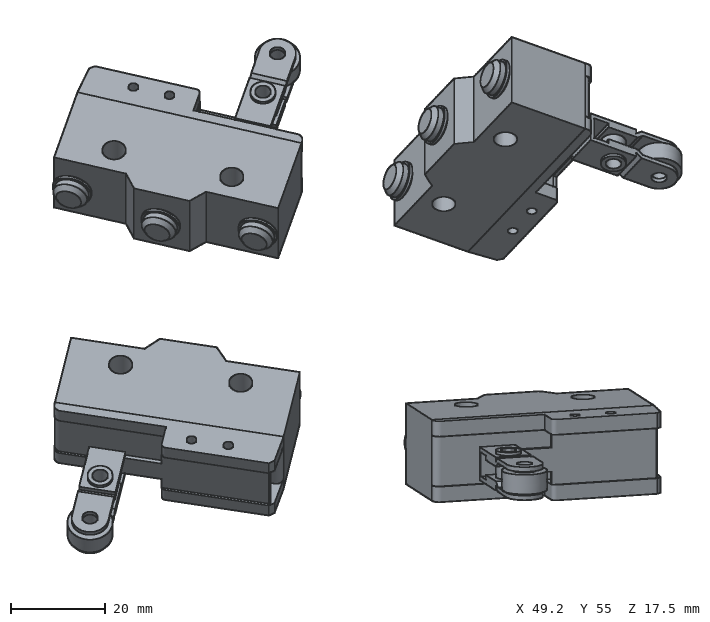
import cadquery as cq
import math


LENGTH = 49.2
THICKNESS = 17.5
HOUSING_DEPTH = 18.0
NOSE_DEPTH = 3.3
NOSE_TIP_WIDTH = 12.2
NOSE_ROOT_WIDTH = 17.6
MOUNT_HOLE_DIAMETER = 4.95
MOUNT_HOLE_SPACING = 25.85
MOUNT_HOLE_Y = -12.7

TERMINAL_NECK = (3.4, 0.5)
TERMINAL_FLANGE = (4.25, 0.65)
TERMINAL_HEAD = (3.75, 1.3)
TERMINAL_TIP_RADIUS = 2.75
TERMINAL_TIP_LENGTH = 1.1

WALL_THICKNESS = 3.35
FLOOR_HEIGHT = 1.6
LOW_WALL_HEIGHT = 2.1
EAR_HEIGHT = 7.7
EAR_RIGHT_X = 0.3
EAR_SLANT = 0.7
EAR_CORNER = 0.95
COVER_CORNER_RADIUS = 1.55
EAR_HOLE_DIAMETER = 2.1
EAR_HOLE_COUNT = 2
EAR_HOLE_SPACING = 7.9
EAR_HOLE_FIRST_X = 11.0
EAR_HOLE_Y = 4.55

BLADE_LEFT_GAP = 1.5
BLADE_BOTTOM_Y = 6.3
BLADE_THICKNESS = 0.9
BLADE_END_CHAMFER = 0.3
ARM_X = 12.1
ARM_WIDTH = 7.8
ARMS_OUTER_SPAN = 7.15
SHEET = 1.0
PAD_START_Y = 10.7
PAD_END_Y = 17.5
CRANK_LENGTH = 1.3

PIN_BORE = 3.3
ROLLER_Y = 25.35
ROLLER_DIAMETER = 9.55
ROLLER_WIDTH = 4.2
BUSHING_DIAMETER = 5.15
RIVET_Y = 14.2
RIVET_DIAMETER = 5.35
RIVET_LENGTH = 8.45

HALF_LENGTH = LENGTH / 2
CHANNEL_WIDTH = THICKNESS - 2 * WALL_THICKNESS
OUTER_TERMINAL_X = HALF_LENGTH - TERMINAL_FLANGE[0]
NOSE_Y = -HOUSING_DEPTH - NOSE_DEPTH
ARM_RIGHT_X = ARM_X + ARM_WIDTH / 2
ARMS_INNER_SPAN = ARMS_OUTER_SPAN - 2 * SHEET
ARM_OUTER_Z = ARMS_OUTER_SPAN / 2
ARM_INNER_Z = ARMS_INNER_SPAN / 2
PAD_INNER_Z = ARM_INNER_Z - SHEET


def centred_prism(outline, width):
    """Extrude a closed outline by the given width, half to each side of its plane."""
    return outline.extrude(width / 2, both=True)


def cylinder_z(x, y, diameter, width):
    """Cylinder along Z, centred on Z = 0."""
    return centred_prism(cq.Workplane("XY").center(x, y).circle(diameter / 2), width)


def ring_z(x, y, diameter, bore, width):
    """Cylinder along Z with a bore through it, centred on Z = 0."""
    return cylinder_z(x, y, diameter, width).cut(cylinder_z(x, y, bore, width))


def make_housing():
    outline = cq.Workplane("XY").polyline([
        (-HALF_LENGTH, 0),
        (-HALF_LENGTH, -HOUSING_DEPTH),
        (-NOSE_ROOT_WIDTH / 2, -HOUSING_DEPTH),
        (-NOSE_TIP_WIDTH / 2, NOSE_Y),
        (NOSE_TIP_WIDTH / 2, NOSE_Y),
        (NOSE_ROOT_WIDTH / 2, -HOUSING_DEPTH),
        (HALF_LENGTH, -HOUSING_DEPTH),
        (HALF_LENGTH, 0),
    ]).close()
    body = centred_prism(outline, THICKNESS)
    for side in (-1, 1):
        hole_x = side * MOUNT_HOLE_SPACING / 2
        body = body.cut(cylinder_z(hole_x, MOUNT_HOLE_Y, MOUNT_HOLE_DIAMETER, THICKNESS))
    return body


def make_terminal(x, face_y):
    """Turned terminal standing on a housing face and pointing to -Y."""
    neck_radius, neck_length = TERMINAL_NECK
    flange_radius, flange_length = TERMINAL_FLANGE
    head_radius, head_length = TERMINAL_HEAD
    flange_y = -neck_length
    head_y = flange_y - flange_length
    tip_start_y = head_y - head_length
    tip_y = tip_start_y - TERMINAL_TIP_LENGTH
    half_section = cq.Workplane("XY").polyline([
        (0, 0),
        (neck_radius, 0),
        (neck_radius, flange_y),
        (flange_radius, flange_y),
        (flange_radius, head_y),
        (head_radius, head_y),
        (head_radius, tip_start_y),
        (TERMINAL_TIP_RADIUS, tip_y),
        (0, tip_y),
    ]).close()
    return half_section.revolve(360, (0, 0), (0, 1)).translate((x, face_y, 0))


def make_cover():
    wall_outline = cq.Workplane("XY").polyline([
        (-HALF_LENGTH, 0),
        (-HALF_LENGTH + EAR_SLANT, EAR_HEIGHT),
        (EAR_RIGHT_X, EAR_HEIGHT),
        (EAR_RIGHT_X, LOW_WALL_HEIGHT),
        (HALF_LENGTH, LOW_WALL_HEIGHT),
        (HALF_LENGTH, 0),
    ]).close()
    walls = centred_prism(wall_outline, THICKNESS)
    walls = walls.edges("|Z").edges(">Y").edges("<X").chamfer(EAR_CORNER)
    walls = walls.edges("|Z").edges(">Y").edges(">X").fillet(EAR_CORNER)
    walls = walls.edges("|Z").edges(">X").edges(">Y").fillet(COVER_CORNER_RADIUS)

    channel = cq.Workplane("XY").box(2 * LENGTH, 2 * EAR_HEIGHT, CHANNEL_WIDTH)
    floor = cq.Workplane("XY").box(LENGTH, FLOOR_HEIGHT, CHANNEL_WIDTH)
    floor = floor.translate((0, FLOOR_HEIGHT / 2, 0))
    floor = floor.edges("|Z").edges(">Y").fillet(COVER_CORNER_RADIUS)
    cover = walls.cut(channel).union(floor)

    for index in range(EAR_HOLE_COUNT):
        hole_x = -HALF_LENGTH + EAR_HOLE_FIRST_X + index * EAR_HOLE_SPACING
        cover = cover.cut(cylinder_z(hole_x, EAR_HOLE_Y, EAR_HOLE_DIAMETER, THICKNESS))
    return cover


def blade_strip(left_x, right_x, width):
    """Flat stretch of the blade between two X positions, centred on Z = 0."""
    strip = cq.Workplane("XY").box(right_x - left_x, BLADE_THICKNESS, width)
    middle_y = BLADE_BOTTOM_Y + BLADE_THICKNESS / 2
    return strip.translate(((left_x + right_x) / 2, middle_y, 0))


def make_blade():
    """Flat blade filling the channel between the ears, narrowed beyond them to fit between the arms."""
    wide = blade_strip(-HALF_LENGTH + BLADE_LEFT_GAP, EAR_RIGHT_X, CHANNEL_WIDTH)
    wide = wide.edges("|Z").edges("<X").edges(">Y").chamfer(BLADE_END_CHAMFER)
    narrow = blade_strip(EAR_RIGHT_X, ARM_RIGHT_X, ARMS_INNER_SPAN)
    return wide.union(narrow)


def make_upper_arm():
    """Arm on the +Z side, cranked outward between the rivet and the roller."""
    crank_angle = math.atan2(SHEET, CRANK_LENGTH)
    bend_shift = SHEET * math.tan(crank_angle / 2)
    tip_y = ROLLER_Y + ARM_WIDTH / 2
    side_outline = cq.Workplane("YZ").polyline([
        (BLADE_BOTTOM_Y, ARM_OUTER_Z),
        (PAD_END_Y, ARM_OUTER_Z),
        (PAD_END_Y, ARM_INNER_Z),
        (PAD_END_Y + CRANK_LENGTH, ARM_OUTER_Z),
        (tip_y, ARM_OUTER_Z),
        (tip_y, ARM_INNER_Z),
        (PAD_END_Y + CRANK_LENGTH + bend_shift, ARM_INNER_Z),
        (PAD_END_Y + bend_shift, PAD_INNER_Z),
        (PAD_START_Y, PAD_INNER_Z),
        (PAD_START_Y, ARM_INNER_Z),
        (BLADE_BOTTOM_Y, ARM_INNER_Z),
    ]).close()
    return centred_prism(side_outline, ARM_WIDTH).translate((ARM_X, 0, 0))


def make_lever():
    upper_arm = make_upper_arm()
    arms = upper_arm.union(upper_arm.mirror("XY"))
    straight = cq.Workplane("XY").box(ARM_WIDTH, ROLLER_Y, ARMS_OUTER_SPAN)
    straight = straight.translate((ARM_X, ROLLER_Y / 2, 0))
    round_tip = cylinder_z(ARM_X, ROLLER_Y, ARM_WIDTH, ARMS_OUTER_SPAN)
    arms = arms.intersect(straight.union(round_tip))
    arms = arms.cut(cylinder_z(ARM_X, ROLLER_Y, PIN_BORE, ARMS_OUTER_SPAN))
    arms = arms.cut(cylinder_z(ARM_X, RIVET_Y, RIVET_DIAMETER, ARMS_OUTER_SPAN))
    return make_blade().union(arms)


housing = make_housing()
cover = make_cover()
terminals = [
    make_terminal(-OUTER_TERMINAL_X, -HOUSING_DEPTH),
    make_terminal(0, NOSE_Y),
    make_terminal(OUTER_TERMINAL_X, -HOUSING_DEPTH),
]
lever = make_lever()
rivet = ring_z(ARM_X, RIVET_Y, RIVET_DIAMETER, PIN_BORE, RIVET_LENGTH)
bushing = ring_z(ARM_X, ROLLER_Y, BUSHING_DIAMETER, PIN_BORE, ARMS_INNER_SPAN)
roller = ring_z(ARM_X, ROLLER_Y, ROLLER_DIAMETER, BUSHING_DIAMETER, ROLLER_WIDTH)

result = cq.Compound.makeCompound([
    housing.val(),
    cover.val(),
    *[terminal.val() for terminal in terminals],
    lever.val(),
    rivet.val(),
    bushing.val(),
    roller.val(),
])